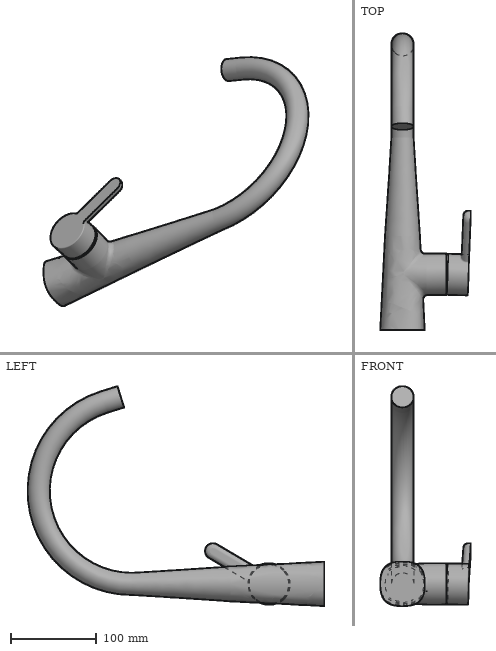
import cadquery as cq
import math


BASE_HALF_WIDTH = 26.2
BASE_SIDES = 4
BASE_CORNER_REACH = 28.4
BASE_OUTLINE_POINTS = 24
BODY_SEAM_Y = 110.2
BODY_SEAM_RADIUS = 20.6
NECK_Y = 182.0
NECK_RADIUS = 15.8

OVERALL_Y = 347.63
TUBE_RADIUS = 13.15
BEND_RADIUS = 108.85
OUTLET_SLOPE = 17.5
OUTLET_LENGTH = 21.0
BEND_Y = OVERALL_Y - BEND_RADIUS - TUBE_RADIUS

ARM_Y = 65.4
ARM_RADIUS = 24.4
ARM_ROOT_X = -4.0
ARM_ROOT_RADIUS = 22.5
ARM_STRAIGHT_X = 28.3
ARM_END_X = 51.1
ARM_BLEND_RADIUS = 5.0

GROOVE_WIDTH = 1.4
GROOVE_DEPTH = 1.0

CAP_X = ARM_END_X + GROOVE_WIDTH
CAP_LENGTH = 24.6
CAP_RADIUS = 24.2
CAP_EDGE_FILLET = 1.2
LEVER_ANGLE = 30.5
HANDLE_TILT = 2.0
LEVER_LENGTH = 76.5
LEVER_WIDTH = 18.6
LEVER_THICKNESS = 8.8
LEVER_BACK_FILLET = 5.9
LEVER_NECK_FILLET = 2.0
LEVER_ROOT = 8.0
LEVER_NECK_DEPTH = 4.0
MARGIN = 0.1
CORE_OVERLAP = 5.0


def polar(radius, degrees, centre=(0.0, 0.0)):
    """Point at a distance and angle from a centre."""
    angle = math.radians(degrees)
    return (centre[0] + radius * math.cos(angle), centre[1] + radius * math.sin(angle))


def base_outline_point(degrees):
    """Point of the rounded-square base, whose radius swells smoothly towards the diagonals."""
    mean_radius = (BASE_CORNER_REACH + BASE_HALF_WIDTH) / 2
    swell = (BASE_CORNER_REACH - BASE_HALF_WIDTH) / 2
    return polar(mean_radius - swell * math.cos(math.radians(BASE_SIDES * degrees)), degrees)


def body_plane(y):
    """Workplane across the body whose outlines start at the -X side."""
    return cq.Workplane(cq.Plane(origin=(0, y, 0), xDir=(-1, 0, 0), normal=(0, -1, 0)))


def make_lower_body():
    """Taper from the rounded-square base to a circle."""
    step = 360 / BASE_OUTLINE_POINTS
    outline = [base_outline_point(index * step) for index in range(BASE_OUTLINE_POINTS)]
    base = body_plane(0).spline(outline, periodic=True).wire().val()
    seam = body_plane(BODY_SEAM_Y).circle(BODY_SEAM_RADIUS).wire().val()
    return cq.Workplane(cq.Solid.makeLoft([base, seam], True))


def make_neck():
    """Two round tapers from the lower body to the spout tube."""
    return (
        cq.Workplane("XY")
        .moveTo(0, BODY_SEAM_Y)
        .lineTo(BODY_SEAM_RADIUS, BODY_SEAM_Y)
        .lineTo(NECK_RADIUS, NECK_Y)
        .lineTo(TUBE_RADIUS, BEND_Y)
        .lineTo(0, BEND_Y)
        .close()
        .revolve(360, (0, 0, 0), (0, 1, 0))
    )


def make_spout():
    """Tube along a large bend that ends in a short straight outlet."""
    bend_centre = (BEND_Y, BEND_RADIUS)
    bend_middle = polar(BEND_RADIUS, 0, bend_centre)
    bend_end = polar(BEND_RADIUS, 90 - OUTLET_SLOPE, bend_centre)
    outlet_end = polar(OUTLET_LENGTH, 180 - OUTLET_SLOPE, bend_end)
    path = (
        cq.Workplane("YZ")
        .moveTo(BEND_Y, 0)
        .threePointArc(bend_middle, bend_end)
        .lineTo(*outlet_end)
    )
    return cq.Workplane("XZ", origin=(0, BEND_Y, 0)).circle(TUBE_RADIUS).sweep(path)


def make_arm():
    """Side arm: a slight taper out of the body, then a straight cylinder."""
    return (
        cq.Workplane("XY", origin=(0, ARM_Y, 0))
        .moveTo(ARM_ROOT_X, 0)
        .lineTo(ARM_ROOT_X, ARM_ROOT_RADIUS)
        .lineTo(ARM_STRAIGHT_X, ARM_RADIUS)
        .lineTo(ARM_END_X, ARM_RADIUS)
        .lineTo(ARM_END_X, 0)
        .close()
        .revolve(360, (0, 0, 0), (1, 0, 0))
    )


def make_groove_core():
    """Cylinder that joins the arm to the cap at the bottom of the groove."""
    length = GROOVE_WIDTH + 2 * CORE_OVERLAP
    start = (ARM_END_X - CORE_OVERLAP, ARM_Y, 0)
    return cq.Workplane("YZ", origin=start).circle(CAP_RADIUS - GROOVE_DEPTH).extrude(length)


def make_handle():
    """Cap with a lever, built untilted with the lever along +Y, then turned into place."""
    cap = (
        cq.Workplane("YZ", origin=(CAP_X, ARM_Y, 0))
        .circle(CAP_RADIUS)
        .extrude(CAP_LENGTH)
        .faces(">X")
        .edges()
        .fillet(CAP_EDGE_FILLET)
    )
    lever_start = (CAP_X + CAP_LENGTH - LEVER_THICKNESS, ARM_Y, 0)
    half_width = LEVER_WIDTH / 2
    lever = (
        cq.Workplane("YZ", origin=lever_start)
        .moveTo(LEVER_ROOT, -half_width)
        .lineTo(LEVER_LENGTH, -half_width)
        .threePointArc((LEVER_LENGTH + half_width, 0), (LEVER_LENGTH, half_width))
        .lineTo(LEVER_ROOT, half_width)
        .close()
        .extrude(LEVER_THICKNESS)
        .faces("<X")
        .edges("not <Y")
        .fillet(LEVER_BACK_FILLET)
    )
    pivot = cq.Vector(CAP_X, ARM_Y, 0)
    cap_end_x = CAP_X + CAP_LENGTH
    neck_region = cq.selectors.BoxSelector(
        (cap_end_x - LEVER_THICKNESS - MARGIN, ARM_Y + CAP_RADIUS - LEVER_NECK_DEPTH, -half_width - MARGIN),
        (cap_end_x, ARM_Y + CAP_RADIUS + MARGIN, half_width + MARGIN),
    )
    handle = cap.union(lever)
    handle = handle.edges(neck_region).fillet(LEVER_NECK_FILLET)
    handle = handle.rotate(pivot, pivot + cq.Vector(0, 0, 1), -HANDLE_TILT)
    return handle.rotate(pivot, pivot + cq.Vector(1, 0, 0), LEVER_ANGLE)


def make_base_with_arm():
    """Lower body and arm, blended along the curve where they meet."""
    joined = make_lower_body().union(make_arm())
    is_curved = cq.selectors.TypeSelector("BSPLINE")
    root_region = cq.selectors.BoxSelector(
        (ARM_ROOT_X, ARM_Y - ARM_RADIUS, -ARM_RADIUS),
        (ARM_STRAIGHT_X, ARM_Y + ARM_RADIUS, ARM_RADIUS),
    )
    return joined.edges(root_region).edges(is_curved).fillet(ARM_BLEND_RADIUS)


result = (
    make_base_with_arm()
    .union(make_neck())
    .union(make_spout())
    .union(make_groove_core())
    .union(make_handle())
)